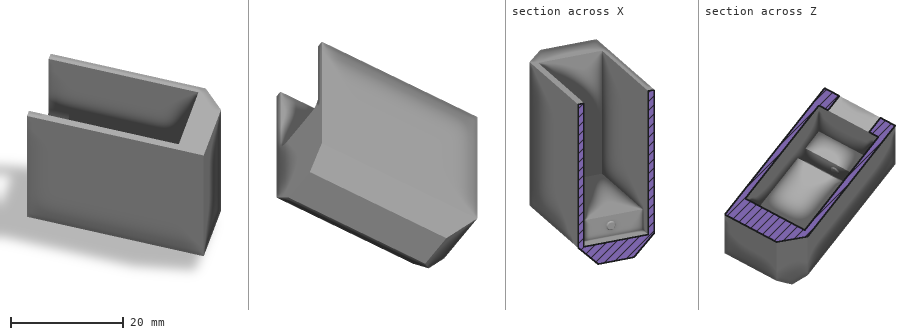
import cadquery as cq

LENGTH = 32.8
WIDTH = 15.05
HEIGHT = 32.0
CHAMFER = 4.0

SIDE_WALL = 1.25
ENTRY_WALL = 3.8
POCKET_LENGTH = 24.0
POCKET_FLOOR = 8.0
POCKET_WIDTH = WIDTH - 2 * SIDE_WALL

NOTCH_DEPTH = 16.0
NOTCH_RADIUS = 2.0

SLOT_START = 8.2
SLOT_LENGTH = 2.5
SLOT_BOTTOM = CHAMFER
SLOT_DEPTH = POCKET_FLOOR - SLOT_BOTTOM

BUMP_BASE_DIAMETER = 1.8
BUMP_TIP_DIAMETER = 1.4
BUMP_HEIGHT = 0.25
BUMP_Z = SLOT_BOTTOM + SLOT_DEPTH / 2


def box(x_start, y_start, z_start, x_size, y_size, z_size):
    """Box placed by its lowest corner."""
    block = cq.Workplane("XY").box(x_size, y_size, z_size, centered=False)
    return block.translate((x_start, y_start, z_start))


def outer_block():
    """Block with three chamfered bottom edges and one chamfered corner."""
    block = box(0, -WIDTH / 2, 0, LENGTH, WIDTH, HEIGHT)
    block = block.edges("|X and <Z").chamfer(CHAMFER)
    block = block.faces("<Z").edges(">X").chamfer(CHAMFER)
    corner = (
        cq.Workplane("XY")
        .moveTo(LENGTH, WIDTH / 2)
        .lineTo(LENGTH - CHAMFER, WIDTH / 2)
        .lineTo(LENGTH, WIDTH / 2 - CHAMFER)
        .close()
        .extrude(HEIGHT)
    )
    return block.cut(corner)


def pocket():
    depth = HEIGHT - POCKET_FLOOR
    return box(ENTRY_WALL, -POCKET_WIDTH / 2, POCKET_FLOOR, POCKET_LENGTH, POCKET_WIDTH, depth)


def notch():
    """Opening as wide as the pocket, with rounded lower corners."""
    opening = box(0, -POCKET_WIDTH / 2, HEIGHT - NOTCH_DEPTH, ENTRY_WALL, POCKET_WIDTH, NOTCH_DEPTH)
    return opening.edges("|X and <Z").fillet(NOTCH_RADIUS)


def slot():
    return box(SLOT_START, -POCKET_WIDTH / 2, SLOT_BOTTOM, SLOT_LENGTH, POCKET_WIDTH, SLOT_DEPTH)


def bump(wall_x, direction):
    """Truncated cone standing on a slot wall, pointing along +X or -X."""
    cone = cq.Solid.makeCone(
        BUMP_BASE_DIAMETER / 2,
        BUMP_TIP_DIAMETER / 2,
        BUMP_HEIGHT,
        pnt=cq.Vector(wall_x, 0, BUMP_Z),
        dir=cq.Vector(direction, 0, 0),
    )
    return cq.Workplane(obj=cone)


result = outer_block().cut(pocket()).cut(notch()).cut(slot())
for wall_x, direction in ((SLOT_START, 1), (SLOT_START + SLOT_LENGTH, -1)):
    result = result.union(bump(wall_x, direction))